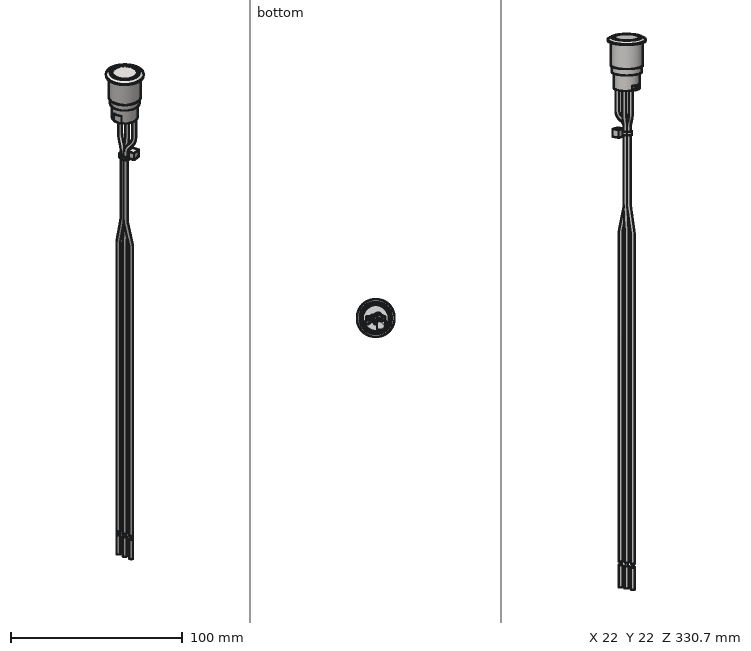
import cadquery as cq

total_length = 330.7

bezel_diameter = 22.0
bezel_top_diameter = 17.5
bezel_rim_depth = 1.3
bezel_depth = 2.0
barrel_diameter = 19.0
barrel_end = -17.0
collar_diameter = 17.5
collar_end = -20.8
base_diameter = 15.2
base_end = -30.5

lens_diameter = 14.5
lens_groove_diameter = 15.0
lens_groove_depth = 0.5

pad_diameter = 15.5
front_pad_width = 5.3
front_pad_height = 5.0
side_pad_width = 2.3
side_pad_height = 2.0
side_pad_offset = 2.3
side_pad_lift = 1.0

wire_diameter = 2.4
core_diameter = 1.5
lead_end = -44.0
bundle_start = -55.0
bundle_end = -100.5
tail_start = -117.5
strip_top = -315.0
strip_bottom = -317.5

lead_pitch = 5.0
lead_row_y = 2.5
tail_gap = 2.08
tail_pitch = wire_diameter + tail_gap
bundle_places = [(-1.5, 0), (0, 1.15), (1.3, -1.15)]

tie_diameter = 4.0
tie_top = -56.2
tie_height = 2.0
tie_head_width = 4.5
tie_head_depth = 5.0
tie_head_height = 4.5
tie_head_center = (3.0, 4.3, -57.0)


def button_body():
    """Turned body of the button with the groove round its lens."""
    body = (
        cq.Workplane("XZ")
        .moveTo(0, 0)
        .lineTo(bezel_top_diameter / 2, 0)
        .lineTo(bezel_diameter / 2, -bezel_rim_depth)
        .lineTo(bezel_diameter / 2, -bezel_depth)
        .lineTo(barrel_diameter / 2, -bezel_depth)
        .lineTo(barrel_diameter / 2, barrel_end)
        .lineTo(collar_diameter / 2, barrel_end)
        .lineTo(collar_diameter / 2, collar_end)
        .lineTo(base_diameter / 2, collar_end)
        .lineTo(base_diameter / 2, base_end)
        .lineTo(0, base_end)
        .close()
        .revolve(360, (0, 0, 0), (0, 1, 0))
    )
    groove = (
        cq.Workplane("XY")
        .circle(lens_groove_diameter / 2)
        .circle(lens_diameter / 2)
        .extrude(-lens_groove_depth)
    )
    return body.cut(groove)


def base_pads():
    """Pads on the base: one wide on the -Y side and two small ones on the -X side."""
    reach = pad_diameter / 2
    pads = (
        cq.Workplane("XY")
        .box(front_pad_width, reach, front_pad_height, centered=(True, False, False))
        .translate((0, -reach, base_end))
    )
    for side in (-1, 1):
        small = (
            cq.Workplane("XY")
            .box(reach, side_pad_width, side_pad_height, centered=(False, True, False))
            .translate((-reach, side * side_pad_offset, base_end + side_pad_lift))
        )
        pads = pads.union(small)
    outer_face = cq.Workplane("XY").circle(reach).extrude(base_end)
    return pads.intersect(outer_face)


def rod(place, diameter, top, bottom):
    """Upright cylinder at an XY place."""
    return (
        cq.Workplane("XY", origin=(place[0], place[1], bottom))
        .circle(diameter / 2)
        .extrude(top - bottom)
    )


def bend(start, end):
    """S-shaped run of wire that leaves and arrives upright."""
    down = cq.Vector(0, 0, -1)
    path = cq.Edge.makeSpline([cq.Vector(*start), cq.Vector(*end)], [down, down])
    return (
        cq.Workplane("XY", origin=start)
        .circle(wire_diameter / 2)
        .sweep(cq.Workplane(path))
    )


def slanted_run(start, end):
    """Straight wire run between two level circles."""
    circles = [
        cq.Wire.makeCircle(wire_diameter / 2, cq.Vector(*point), cq.Vector(0, 0, 1))
        for point in (start, end)
    ]
    return cq.Workplane(cq.Solid.makeLoft(circles, True))


def wire(lead, bundle, tail):
    """One wire from the button base down to its partly stripped end."""
    runs = [
        bend((*lead, lead_end), (*bundle, bundle_start)),
        rod(bundle, wire_diameter, bundle_start, bundle_end),
        slanted_run((*bundle, bundle_end), (*tail, tail_start)),
        rod(tail, wire_diameter, tail_start, strip_top),
        rod(tail, core_diameter, strip_top, strip_bottom),
        rod(tail, wire_diameter, strip_bottom, -total_length),
    ]
    whole = rod(lead, wire_diameter, base_end, lead_end)
    for run in runs:
        whole = whole.union(run)
    return whole


def cable_tie():
    """Band that follows the three bundled wires, with its block-shaped head behind."""
    tie = cq.Workplane("XY").box(tie_head_width, tie_head_depth, tie_head_height)
    tie = tie.translate(tie_head_center)
    for place in bundle_places:
        tie = tie.union(rod(place, tie_diameter, tie_top, tie_top - tie_height))
    return tie


head = button_body().union(base_pads())
result = head.union(cable_tie())
for column, bundle_place in zip((-1, 0, 1), bundle_places):
    lead_place = (column * lead_pitch, lead_row_y)
    tail_place = (column * tail_pitch, 0)
    result = result.union(wire(lead_place, bundle_place, tail_place))